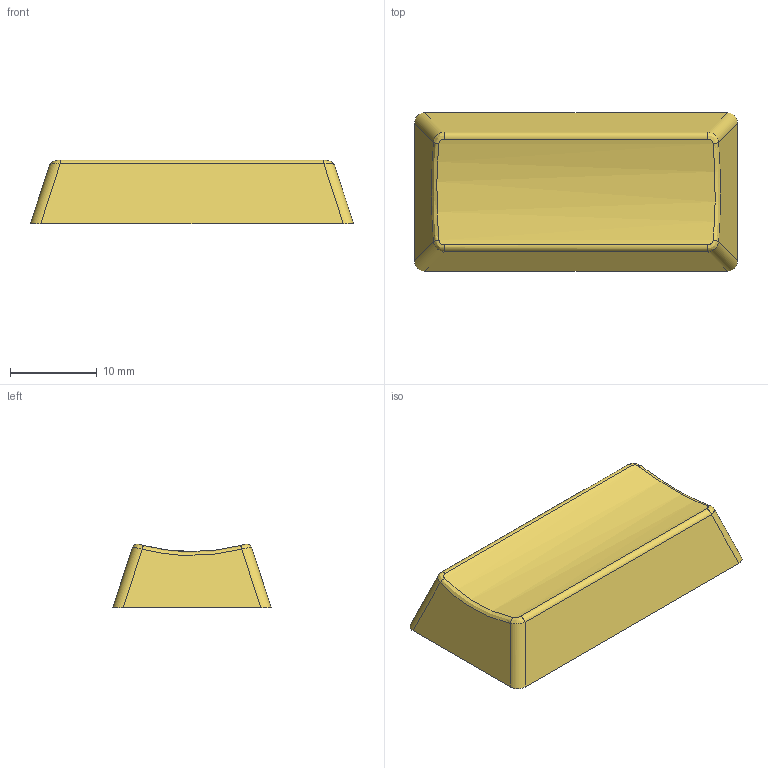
import cadquery as cq
import math

length = 37.35
width = 18.3
draft_angle = 18.0
corner_radius = 1.25

dish_radius = 22.0
dish_bottom_height = 6.5

rim_radius = 0.65

dish_sag = dish_radius - math.sqrt(dish_radius**2 - (width / 2)**2)
blank_height = dish_bottom_height + dish_sag


def tapered_blank():
    """Truncated pyramid with its four slanted corner edges rounded."""
    pyramid = cq.Workplane("XY").rect(length, width).extrude(blank_height, taper=draft_angle)
    slanted_edges = pyramid.faces("<X or >X").edges("not |Y")
    return slanted_edges.fillet(corner_radius)


def dish_cutter():
    """Cylinder along X whose lowest line is the middle of the dish."""
    axis_height = dish_bottom_height + dish_radius
    return (
        cq.Workplane("YZ")
        .center(0, axis_height)
        .circle(dish_radius)
        .extrude(length / 2, both=True)
    )


def round_rim(body):
    """Round the edge loop where the dish meets the sides and corners."""
    dish_face = body.faces(cq.NearestToPointSelector((0, 0, dish_bottom_height)))
    return dish_face.edges().fillet(rim_radius)


dished_body = tapered_blank().cut(dish_cutter())
result = round_rim(dished_body)